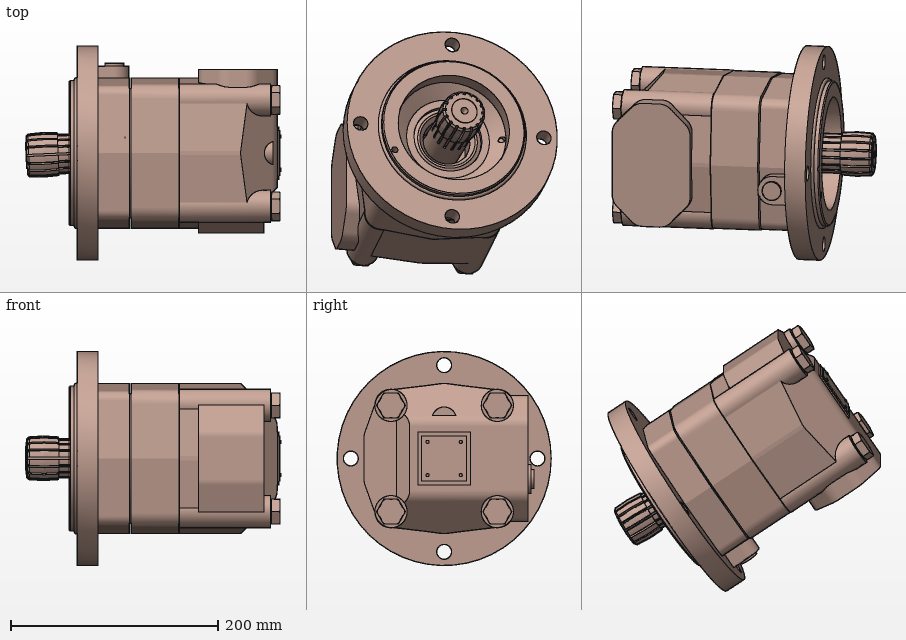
import cadquery as cq
import math

SHAFT_TIP_X = 0.0
PILOT_X = 42.3
PILOT_SHOULDER_X = 47.2
FLANGE_X = 50.0
FLANGE_BACK_X = 70.2
FRONT_BLOCK_END_X = 100.5
GEAR_SET_X = 102.0
GEAR_SET_END_X = 148.2
COVER_X = 148.7
BOSS_END_X = 237.0
COVER_END_X = 243.4
RIVET_END_X = 247.0

FLANGE_DIA = 207.0
FLANGE_HOLE_DIA = 14.0
FLANGE_HOLE_RADIUS = 90.2
FLANGE_HOLE_COUNT = 4
PILOT_DIA = 140.5
PILOT_CHAMFER = 1.2
PILOT_SHOULDER_DIA = 145.8
PILOT_SHOULDER_FILLET = 2.0
BLOCK_CORNER_RADIUS = 10.1
BLOCK_CORNER_CENTRE = 54.9
NECK_DIA = 125.3

MOUTH_DIA = 109.5
MOUTH_DEPTH = 17.5
FLOOR_DIA = 81.5
FLOOR_DEPTH = 29.2
SEAL_OUTER_DIA = 66.7
SEAL_INNER_DIA = 58.8
SEAL_GROOVE_DEPTH = 5.0
SEAL_LIP_DEPTH = 2.5
THROAT_DIA = 54.4
BORE_DIA = 46.0
THROAT_DEPTH = 5.0

SMALL_HOLE_DIA = 6.0
SMALL_HOLE_DEPTH = 12.4
FACE_HOLE_Y = 58.0
FACE_HOLE_Z = -28.2
CONE_HOLE_Y = -51.5
CONE_HOLE_END_X = 66.7

DRAIN_X = 86.0
DRAIN_Z = -19.8
DRAIN_BOSS_DIA = 28.0
DRAIN_BOSS_Y = 84.0
DRAIN_PLUG_DIA = 18.3
DRAIN_PLUG_Y = 87.0

APEX = 72.6
APEX_FLAT = 4.0
BOLT_OFFSET = 51.5
GEAR_CORNER_RADIUS = 15.0
BOSS_DIA = 31.1
COVER_CORNER_NEAR = 52.0
COVER_CORNER_FAR = 66.0

SLOPE_X = 208.0
PORT_SIDE_SLOPE_X = 204.0
SLOPE_FILLET = 15.3

PORT_PAD_X = 167.0
PORT_PAD_END_X = 230.5
PORT_PAD_ROOT_Y = -44.5
PORT_PAD_Y = -77.3
PORT_PAD_EDGE_Y = -67.2
PORT_PAD_HALF_HEIGHT = 51.6
PORT_PAD_HALF_FLAT = 23.2
PORT_PAD_FILLET = 12.4

REAR_PORT_X = 167.0
REAR_PORT_Y = 81.0
REAR_PORT_CHAMFER = 23.7

PLUG_BOSS_DIA = 23.5
PLUG_BOSS_Z = 38.0
PLUG_BOSS_X = 197.7
PLUG_BOSS_END_X = 239.2

PLATE_SEAT_SIZE = 51.0
PLATE_SEAT_THICKNESS = 1.5
PLATE_SIZE = 43.5
PLATE_THICKNESS = 1.2
RIVET_OFFSET = 16.0
RIVET_DIA = 3.0

BOLT_FLATS = 24.2
BOLT_END_X = 246.0
BOLT_CHAMFER = 0.7
WASHER_FACE_DIA = 23.2
WASHER_FACE_THICKNESS = 1.0
BOLT_SHANK_DIA = 16.0
BOLT_SHANK_LENGTH = 49.5

SHAFT_TILT = 2.5
SHAFT_TIP_Y = -2.35
SHAFT_TIP_Z = 0.2
SHAFT_LENGTH = 96.4
SHAFT_DIA = 38.5
TIP_DISC_DIA = 25.2
TIP_DISC_THICKNESS = 0.7
SPLINE_DIA = 43.2
SPLINE_END_DIA = 41.5
SPLINE_LENGTH = 31.1
SPLINE_CHAMFER = 2.0
SPLINE_COUNT = 16
SPLINE_ROOT_DIA = 35.0
SPLINE_GROOVE_WIDTH = 2.0
SPLINE_GROOVE_LENGTH = 53.0
CENTRE_HOLE_DIA = 7.0
CENTRE_HOLE_DEPTH = 7.5


def disc(x_start, x_end, diameter, y=0.0, z=0.0):
    """Cylinder along X between two places."""
    face = cq.Workplane("YZ", origin=(x_start, y, z)).circle(diameter / 2)
    return face.extrude(x_end - x_start)


def revolve_about_x(points):
    """Solid of revolution about X from (x, radius) points."""
    outline = cq.Workplane("XY").polyline(points).close()
    return outline.revolve(360, (0, 0, 0), (1, 0, 0))


def corner_places(offset):
    """The four (y, z) places at the corners of a square."""
    return [(y, z) for y in (offset, -offset) for z in (offset, -offset)]


def peaked_square(x_start, x_end, corner_centre, corner_radius):
    """Square section with a slight peak mid-side and round corners tangent to the sloping sides."""
    rise = APEX - corner_centre
    distance = math.hypot(corner_centre, rise)
    slope = math.asin(rise / distance) - math.asin(corner_radius / distance)
    near = corner_centre + corner_radius * math.sin(slope)
    far = corner_centre + corner_radius * math.cos(slope)
    middle = corner_centre + corner_radius * math.sqrt(0.5)
    outline = cq.Workplane("YZ", origin=(x_start, 0, 0)).moveTo(0, APEX)
    for turn in range(4):
        angle = -math.pi / 2 * turn
        c, s = round(math.cos(angle)), round(math.sin(angle))
        start, through, end, peak = [
            (y * c - z * s, y * s + z * c)
            for y, z in ((near, far), (middle, middle), (far, near), (APEX, 0))
        ]
        outline = outline.lineTo(*start).threePointArc(through, end)
        if turn < 3:
            outline = outline.lineTo(*peak)
    return outline.close().extrude(x_end - x_start)


def drain_port():
    """Round-ended boss on the +Y side, carrying a plug."""
    radius = DRAIN_BOSS_DIA / 2
    boss = (
        cq.Workplane("XZ", origin=(DRAIN_X, 0, DRAIN_Z))
        .moveTo(FLANGE_X - DRAIN_X, -radius)
        .lineTo(0, -radius)
        .threePointArc((radius, 0), (0, radius))
        .lineTo(FLANGE_X - DRAIN_X, radius)
        .close()
        .extrude(-DRAIN_BOSS_Y)
    )
    plug = cq.Workplane("XZ", origin=(DRAIN_X, 0, DRAIN_Z)).circle(DRAIN_PLUG_DIA / 2).extrude(-DRAIN_PLUG_Y)
    return boss.union(plug)


def shaft_opening():
    """Stepped clearance for the shaft, open at both ends of the housing."""
    cone_x = PILOT_X + MOUTH_DEPTH
    floor_x = PILOT_X + FLOOR_DEPTH
    lip_x = floor_x + SEAL_LIP_DEPTH
    throat_x = lip_x + THROAT_DEPTH
    return revolve_about_x([
        (PILOT_X, 0),
        (PILOT_X, MOUTH_DIA / 2),
        (cone_x, MOUTH_DIA / 2),
        (floor_x, FLOOR_DIA / 2),
        (floor_x, SEAL_OUTER_DIA / 2),
        (floor_x + SEAL_GROOVE_DEPTH, SEAL_OUTER_DIA / 2),
        (lip_x, SEAL_INNER_DIA / 2),
        (lip_x, THROAT_DIA / 2),
        (throat_x, BORE_DIA / 2),
        (GEAR_SET_X, BORE_DIA / 2),
        (GEAR_SET_X, 0),
    ])


def make_mounting_housing():
    pilot = disc(PILOT_X, FLANGE_X, PILOT_DIA).faces("<X").chamfer(PILOT_CHAMFER)
    shoulder = disc(PILOT_SHOULDER_X, FLANGE_X, PILOT_SHOULDER_DIA).faces("<X").fillet(PILOT_SHOULDER_FILLET)
    flange = (
        disc(FLANGE_X, FLANGE_BACK_X, FLANGE_DIA)
        .faces("<X")
        .workplane(origin=(FLANGE_X, 0, 0))
        .polarArray(FLANGE_HOLE_RADIUS, 0, 360, FLANGE_HOLE_COUNT)
        .hole(FLANGE_HOLE_DIA)
    )
    block = peaked_square(FLANGE_BACK_X, FRONT_BLOCK_END_X, BLOCK_CORNER_CENTRE, BLOCK_CORNER_RADIUS)
    neck = disc(FLANGE_BACK_X, GEAR_SET_X, NECK_DIA)
    face_hole = disc(PILOT_X, PILOT_X + SMALL_HOLE_DEPTH, SMALL_HOLE_DIA, FACE_HOLE_Y, FACE_HOLE_Z)
    cone_hole = disc(PILOT_X + MOUTH_DEPTH, CONE_HOLE_END_X, SMALL_HOLE_DIA, CONE_HOLE_Y)
    housing = flange.union(pilot).union(shoulder).union(block).union(neck).union(drain_port())
    return housing.cut(shaft_opening()).cut(face_hole).cut(cone_hole)


def cover_core():
    """Peaked section of the end cover, sloping in towards the rear on the +Z and -Z sides."""
    half_flat = APEX_FLAT / 2
    points = [
        (half_flat, APEX),
        (COVER_CORNER_NEAR, COVER_CORNER_FAR),
        (COVER_CORNER_FAR, COVER_CORNER_NEAR),
        (APEX, half_flat),
    ]
    right_half = points + [(y, -z) for y, z in reversed(points)]
    outline = right_half + [(-y, z) for y, z in reversed(right_half)]
    core = cq.Workplane("YZ", origin=(COVER_X, 0, 0)).polyline(outline).close().extrude(COVER_END_X - COVER_X)

    slope_end = APEX - (COVER_END_X - SLOPE_X)
    side = (
        cq.Workplane("XZ")
        .polyline([
            (COVER_X, -APEX),
            (SLOPE_X, -APEX),
            (COVER_END_X, -slope_end),
            (COVER_END_X, slope_end),
            (SLOPE_X, APEX),
            (COVER_X, APEX),
        ])
        .close()
        .extrude(APEX, both=True)
        .edges(">X")
        .edges("|Y")
        .fillet(SLOPE_FILLET)
    )
    return core.intersect(side)


def rear_port():
    """Eight-sided port block, reaching out on the +Y side."""
    length = COVER_END_X - REAR_PORT_X
    half_height = APEX - (COVER_END_X - REAR_PORT_CHAMFER - SLOPE_X)
    return (
        cq.Workplane("XZ", origin=(REAR_PORT_X + length / 2, 0, 0))
        .rect(length, 2 * half_height)
        .extrude(-REAR_PORT_Y)
        .edges("|Y")
        .chamfer(REAR_PORT_CHAMFER)
        .edges("|Y")
        .fillet(SLOPE_FILLET)
    )


def port_pad():
    """Port pad on the -Y side, with a flat middle and two sloping wings."""
    return (
        cq.Workplane("YZ", origin=(PORT_PAD_X, 0, 0))
        .polyline([
            (PORT_PAD_ROOT_Y, PORT_PAD_HALF_HEIGHT),
            (PORT_PAD_EDGE_Y, PORT_PAD_HALF_HEIGHT),
            (PORT_PAD_Y, PORT_PAD_HALF_FLAT),
            (PORT_PAD_Y, -PORT_PAD_HALF_FLAT),
            (PORT_PAD_EDGE_Y, -PORT_PAD_HALF_HEIGHT),
            (PORT_PAD_ROOT_Y, -PORT_PAD_HALF_HEIGHT),
        ])
        .close()
        .extrude(PORT_PAD_END_X - PORT_PAD_X)
        .edges("|X")
        .edges("<Y")
        .fillet(PORT_PAD_FILLET)
    )


def rear_slope_wedge():
    """Material outside the 45-degree slope on the -Y side."""
    run = COVER_END_X - PORT_SIDE_SLOPE_X
    return (
        cq.Workplane("XY", origin=(0, 0, -APEX))
        .polyline([
            (PORT_SIDE_SLOPE_X, -APEX),
            (COVER_END_X, -APEX + run),
            (COVER_END_X, -APEX),
        ])
        .close()
        .extrude(2 * APEX)
    )


def name_plate():
    """Raised seat, plate and four rivets on the rear face."""
    plate_x = COVER_END_X + PLATE_SEAT_THICKNESS
    seat = cq.Workplane("YZ", origin=(COVER_END_X, 0, 0)).rect(PLATE_SEAT_SIZE, PLATE_SEAT_SIZE)
    plate = cq.Workplane("YZ", origin=(plate_x, 0, 0)).rect(PLATE_SIZE, PLATE_SIZE)
    marker = seat.extrude(PLATE_SEAT_THICKNESS).union(plate.extrude(PLATE_THICKNESS))
    for y, z in corner_places(RIVET_OFFSET):
        marker = marker.union(disc(plate_x, RIVET_END_X, RIVET_DIA, y, z))
    return marker


def make_motor_body():
    gear_set = peaked_square(GEAR_SET_X, GEAR_SET_END_X, BOLT_OFFSET, GEAR_CORNER_RADIUS)
    neck = disc(GEAR_SET_END_X, COVER_X, NECK_DIA)
    body = cover_core().cut(rear_slope_wedge()).union(rear_port()).union(port_pad())
    body = body.union(disc(PLUG_BOSS_X, PLUG_BOSS_END_X, PLUG_BOSS_DIA, 0, PLUG_BOSS_Z))
    for y, z in corner_places(BOLT_OFFSET):
        spot_face = disc(BOSS_END_X, RIVET_END_X, BOSS_DIA, y, z)
        bolt_hole = disc(BOSS_END_X - BOLT_SHANK_LENGTH, BOSS_END_X, BOLT_SHANK_DIA, y, z)
        body = body.union(disc(COVER_X, BOSS_END_X, BOSS_DIA, y, z)).cut(spot_face).cut(bolt_hole)
    return body.union(neck).union(gear_set).union(name_plate())


def make_bolt(y, z):
    head_x = BOSS_END_X + WASHER_FACE_THICKNESS
    corner_dia = BOLT_FLATS / math.cos(math.pi / 6)
    head = cq.Workplane("YZ", origin=(head_x, y, z)).polygon(6, corner_dia).extrude(BOLT_END_X - head_x)
    rounding = disc(head_x, BOLT_END_X, corner_dia, y, z).faces(">X").chamfer(BOLT_CHAMFER)
    washer_face = disc(BOSS_END_X, head_x, WASHER_FACE_DIA, y, z)
    shank = disc(BOSS_END_X - BOLT_SHANK_LENGTH, BOSS_END_X, BOLT_SHANK_DIA, y, z)
    return head.intersect(rounding).union(washer_face).union(shank)


def spline_crown():
    """Splined end made of two shallow cones, fullest halfway along."""
    start_x = SHAFT_TIP_X + TIP_DISC_THICKNESS
    return (
        cq.Workplane("XY")
        .moveTo(start_x, 0)
        .lineTo(start_x, SPLINE_END_DIA / 2 - SPLINE_CHAMFER)
        .lineTo(start_x + SPLINE_CHAMFER, SPLINE_END_DIA / 2)
        .lineTo((start_x + SPLINE_CHAMFER + SPLINE_LENGTH) / 2, SPLINE_DIA / 2)
        .lineTo(SPLINE_LENGTH, SPLINE_END_DIA / 2)
        .lineTo(SPLINE_LENGTH, 0)
        .close()
        .revolve(360, (0, 0, 0), (1, 0, 0))
    )


def make_shaft():
    """Splined shaft, built along X from the origin and then tilted into place."""
    stem = disc(SPLINE_LENGTH, SHAFT_LENGTH, SHAFT_DIA)
    tip_disc = disc(SHAFT_TIP_X, SPLINE_LENGTH, TIP_DISC_DIA)
    shaft = spline_crown().union(stem).union(tip_disc)
    groove_depth = (SPLINE_DIA - SPLINE_ROOT_DIA) / 2
    groove = (
        cq.Workplane("XY", origin=(SHAFT_TIP_X, 0, SPLINE_ROOT_DIA / 2))
        .box(SPLINE_GROOVE_LENGTH, SPLINE_GROOVE_WIDTH, 2 * groove_depth, centered=(False, True, False))
    )
    for index in range(SPLINE_COUNT):
        shaft = shaft.cut(groove.rotate((0, 0, 0), (1, 0, 0), index * 360 / SPLINE_COUNT))
    centre_hole = revolve_about_x([
        (SHAFT_TIP_X, 0),
        (SHAFT_TIP_X, CENTRE_HOLE_DIA / 2),
        (SHAFT_TIP_X + CENTRE_HOLE_DEPTH, 0),
    ])
    shaft = shaft.cut(centre_hole)
    tip_swing = TIP_DISC_DIA / 2 * math.sin(math.radians(SHAFT_TILT))
    tilted = shaft.rotate((0, 0, 0), (0, 0, 1), SHAFT_TILT)
    return tilted.translate((tip_swing, SHAFT_TIP_Y, SHAFT_TIP_Z))


mounting_housing = make_mounting_housing()
motor_body = make_motor_body()
shaft = make_shaft()
bolts = [make_bolt(y, z) for y, z in corner_places(BOLT_OFFSET)]

result = cq.Compound.makeCompound([
    mounting_housing.val(),
    motor_body.val(),
    shaft.val(),
    *[bolt.val() for bolt in bolts],
])